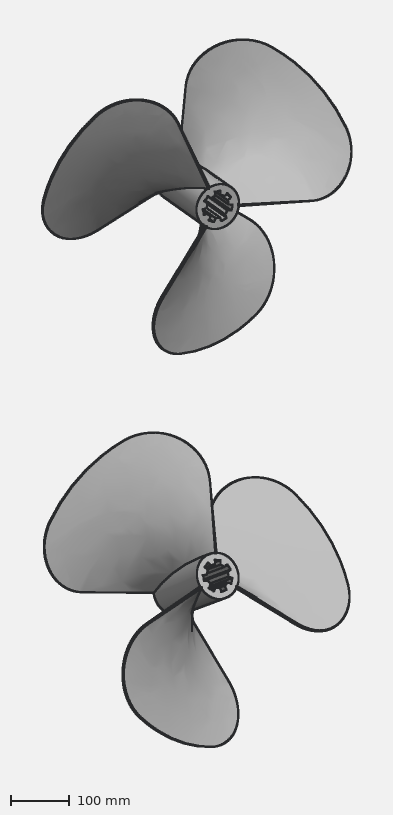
import cadquery as cq
import math

hub_length = 160.0
hub_radius = 40.0

bore_radius = 20.5
slot_count = 7
slot_width = 10.5
slot_tip_radius = 27.5

blade_count = 3
blade_sweep = 90.0
blade_start_angle = 114.8
blade_tip_radius = 276.0
start_corner_radius = 89.0
end_corner_radius = 80.5
blade_thickness = 4.0
blade_root_radius = 38.5
outline_overlap = 11.0

pitch = hub_length * 360 / blade_sweep


def polar(radius, angle):
    """Point in the XY plane at an angle in degrees from +X."""
    return (radius * math.cos(math.radians(angle)), radius * math.sin(math.radians(angle)))


def make_hub():
    hub = cq.Workplane("YZ").circle(hub_radius).extrude(hub_length / 2, both=True)
    bore = cq.Workplane("YZ").circle(bore_radius).extrude(hub_length / 2, both=True)
    slot = (
        cq.Workplane("YZ")
        .center(0, slot_tip_radius / 2)
        .rect(slot_width, slot_tip_radius)
        .extrude(hub_length / 2, both=True)
    )
    for i in range(slot_count):
        bore = bore.union(slot.rotate((0, 0, 0), (1, 0, 0), i * 360 / slot_count))
    return hub.cut(bore)


def corner_points(edge_angle, corner_radius, side):
    """Ends and middle of a round corner, from the straight edge to the tip arc.

    The blade lies counterclockwise from the edge when side is 1, clockwise when it is -1.
    """
    center_radius = blade_tip_radius - corner_radius
    turn = math.degrees(math.asin(corner_radius / center_radius))
    center_angle = edge_angle + side * turn
    center = cq.Vector(*polar(center_radius, center_angle))
    middle_angle = (edge_angle - side * 90 + center_angle) / 2
    middle = center + cq.Vector(*polar(corner_radius, middle_angle))
    edge_end = polar(math.sqrt(center_radius**2 - corner_radius**2), edge_angle)
    tip_end = polar(blade_tip_radius, center_angle)
    return edge_end, middle.toTuple()[:2], tip_end


def make_blade_outline():
    """Prism along Z with the axial outline of a blade: a sector with two round outer corners."""
    end_edge, end_middle, end_tip = corner_points(-blade_sweep, end_corner_radius, 1)
    start_edge, start_middle, start_tip = corner_points(0, start_corner_radius, -1)
    return (
        cq.Workplane("XY")
        .workplane(offset=-outline_overlap)
        .lineTo(*end_edge)
        .threePointArc(end_middle, end_tip)
        .threePointArc(polar(blade_tip_radius, -blade_sweep / 2), start_tip)
        .threePointArc(start_middle, start_edge)
        .close()
        .extrude(hub_length + 2 * outline_overlap)
    )


def make_blade():
    """Blade wound about Z from +X, then turned so that the shaft axis is X."""
    root = cq.Wire.makeHelix(pitch, hub_length, blade_root_radius, lefthand=True).Edges()[0]
    tip = cq.Wire.makeHelix(pitch, hub_length, blade_tip_radius + outline_overlap, lefthand=True).Edges()[0]
    helicoid = cq.Face.makeRuledSurface(root, tip)
    face = helicoid.intersect(make_blade_outline().val()).Faces()[0]
    sheet = face.thicken(blade_thickness / 2).fuse(face.thicken(-blade_thickness / 2)).clean()
    return (
        cq.Workplane(sheet)
        .rotate((0, 0, 0), (0, 1, 0), 90)
        .translate((-hub_length / 2, 0, 0))
        .rotate((0, 0, 0), (1, 0, 0), blade_start_angle - 180)
    )


result = make_hub()
blade = make_blade()
for i in range(blade_count):
    result = result.union(blade.rotate((0, 0, 0), (1, 0, 0), i * 360 / blade_count))